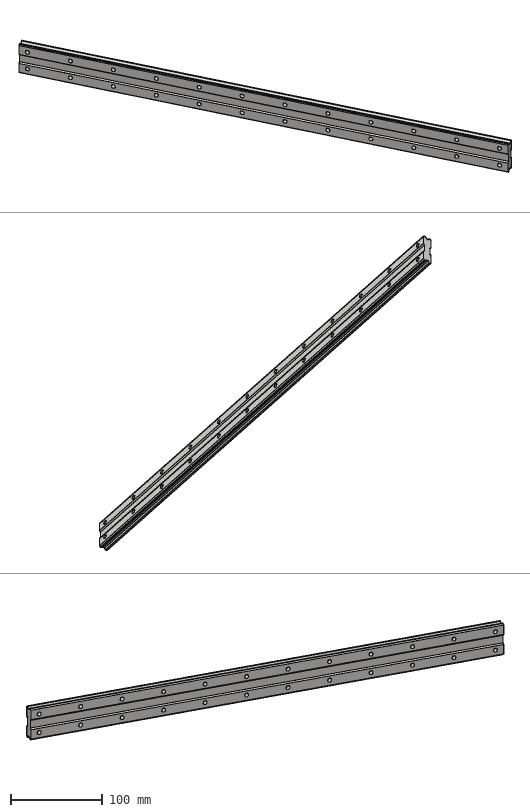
import cadquery as cq

length = 570.0
thickness = 11.0
height = 37.0

recess_depth = 1.5
recess_mouth = 12.0
recess_floor = recess_mouth - 2 * recess_depth

groove_depth = 2.1
groove_mouth = 5.6
steep_flank_width = 1.2

front_chamfer = 0.9
back_chamfer = 1.35

hole_diameter = 4.5
holes_per_row = 12
row_count = 2
hole_pitch = 50.0
row_spacing = 22.0


def upper_outline():
    """(Y, Z) points of the upper half of the section, from the +Y waist to the -Y waist."""
    half_thickness = thickness / 2
    half_height = height / 2
    half_mouth = groove_mouth / 2
    waist_y = half_thickness - recess_depth
    groove_z = half_height - groove_depth
    return [
        (waist_y, recess_floor / 2),
        (half_thickness, recess_mouth / 2),
        (half_thickness, half_height - back_chamfer),
        (half_thickness - back_chamfer, half_height),
        (half_mouth, half_height),
        (half_mouth - groove_depth, groove_z),
        (-half_mouth + steep_flank_width, groove_z),
        (-half_mouth, half_height),
        (-half_thickness + front_chamfer, half_height),
        (-half_thickness, half_height - front_chamfer),
        (-half_thickness, recess_mouth / 2),
        (-waist_y, recess_floor / 2),
    ]


def make_rail():
    """Extrude the section, whose lower half mirrors the upper half, along X."""
    upper = upper_outline()
    lower = [(y, -z) for y, z in reversed(upper)]
    start = cq.Workplane("YZ", origin=(-length / 2, 0, 0))
    return start.polyline(upper + lower).close().extrude(length)


def make_hole_cutters():
    """Cylinders for both rows of holes, running through the full thickness."""
    return (
        cq.Workplane("XZ")
        .rarray(hole_pitch, row_spacing, holes_per_row, row_count)
        .circle(hole_diameter / 2)
        .extrude(thickness / 2, both=True)
    )


result = make_rail().cut(make_hole_cutters())